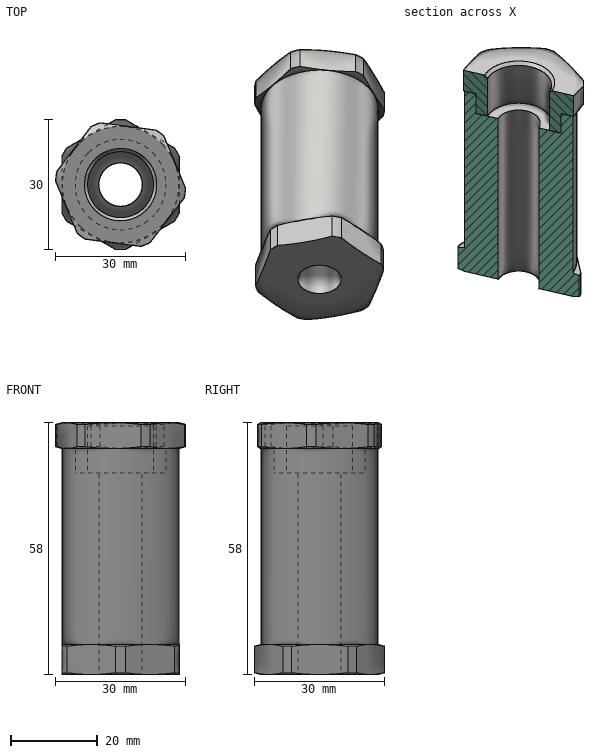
import cadquery as cq
import math

total_height = 58.0
barrel_diameter = 26.9

across_flats = 27.0
corner_diameter = 30.0
cap_height = 6.0
base_hex_height = 6.95
cap_turn = -7.4
base_turn = 30.0

face_diameter = 26.8
chamfer_angle = 15.0
hex_chamfer_height = (corner_diameter - face_diameter) / 2 * math.tan(math.radians(chamfer_angle))

port_diameter = 15.2
port_mouth_diameter = 16.65
port_depth = 11.6
through_diameter = 10.0
spigot_diameter = 20.9
mouth_chamfer = (port_mouth_diameter - port_diameter) / 2

body_height = total_height - cap_height
spigot_bottom = total_height - port_depth


def make_hex(height, bottom_z, turn):
    """Hexagon with turned corners and a conical chamfer at each end."""
    circumscribed_diameter = across_flats / math.cos(math.radians(30))
    prism = cq.Workplane("XY").polygon(6, circumscribed_diameter).extrude(height)
    turned_blank = (
        cq.Workplane("XZ")
        .lineTo(face_diameter / 2, 0)
        .lineTo(corner_diameter / 2, hex_chamfer_height)
        .lineTo(corner_diameter / 2, height - hex_chamfer_height)
        .lineTo(face_diameter / 2, height)
        .lineTo(0, height)
        .close()
        .revolve(360, (0, 0), (0, 1))
    )
    turned_hex = prism.intersect(turned_blank)
    return turned_hex.rotate((0, 0, 0), (0, 0, 1), turn).translate((0, 0, bottom_z))


def make_cylinder(diameter, bottom_z, top_z):
    return cq.Workplane("XY").workplane(offset=bottom_z).circle(diameter / 2).extrude(top_z - bottom_z)


def make_body():
    """Barrel with a hexagon base, a through hole and a socket for the cap's spigot."""
    base = make_hex(base_hex_height, 0, base_turn)
    barrel = make_cylinder(barrel_diameter, base_hex_height, body_height)
    through_hole = make_cylinder(through_diameter, 0, body_height)
    socket = make_cylinder(spigot_diameter, spigot_bottom, body_height)
    return base.union(barrel).cut(through_hole).cut(socket)


def make_cap():
    """Hexagon head on a spigot that fills the body's socket, with a chamfered port through both."""
    head = make_hex(cap_height, body_height, cap_turn)
    spigot = make_cylinder(spigot_diameter, spigot_bottom, body_height)
    port = make_cylinder(port_diameter, spigot_bottom, total_height)
    mouth = (
        cq.Workplane("XY")
        .workplane(offset=total_height)
        .circle(port_mouth_diameter / 2)
        .workplane(offset=-mouth_chamfer)
        .circle(port_diameter / 2)
        .loft(ruled=True)
    )
    return head.union(spigot).cut(port).cut(mouth)


body = make_body()
cap = make_cap()
result = cq.Compound.makeCompound([*body.solids().vals(), *cap.solids().vals()])